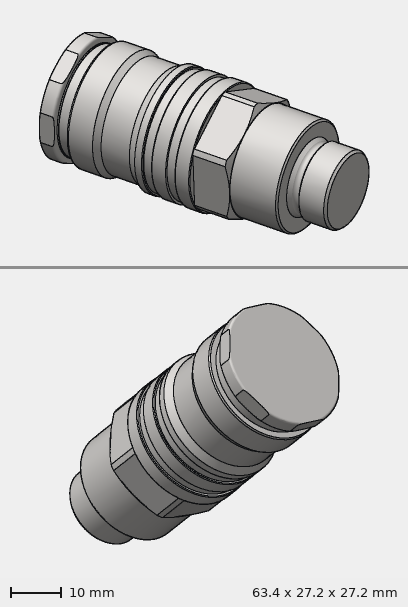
import cadquery as cq
import math

total_length = 63.4

flange_length = 3.5
flange_diameter = 26.95
flange_across_flats = 26.0
flange_front_fillet = 0.45
flange_back_fillet = 0.6

neck_step_end = 3.8
neck_step_diameter = 24.0
neck_diameter = 23.7

collar_start = 6.5
collar_diameter = 26.7
collar_chamfer_length = 0.4
collar_chamfer_depth = 0.2
collar_cone_start = 12.5

waist_start = 13.95
waist_end = 20.5
waist_diameter = 25.0

ring_diameter = 27.0
last_ring_diameter = 27.2
groove_diameter = 25.9
ring_edge_chamfer = 0.2
first_ring_start = 22.3
first_groove_start = 24.1
second_ring_start = 26.1
second_groove_start = 29.5
last_ring_start = 31.6

hexagon_start = 34.9
hexagon_end = 43.35
hexagon_across_corners = 27.0
hexagon_across_flats = 24.0
hexagon_chamfer_angle = 30.0
hexagon_tilt = 3.0

body_end = 54.3
body_diameter = 23.8
body_chamfer = 0.4

plug_diameter = 16.7
root_end = 55.2
root_diameter = 15.5
plug_neck_bottom = 56.05
plug_neck_diameter = 14.7
plug_neck_end = 56.9
plug_neck_end_diameter = 16.0
head_start = 57.1
head_chamfer_length = 0.6
head_chamfer_depth = 0.45


def revolve_profile(points):
    """Revolve (x, radius) points about the X axis, closing the outline along the axis."""
    outline = [(points[0][0], 0), *points, (points[-1][0], 0)]
    return cq.Workplane("XY").polyline(outline).close().revolve(360, (0, 0, 0), (1, 0, 0))


def hexagonal_prism(start, end, across_flats, tilt=0):
    """Hexagon along X with one flat facing -Y, turned by tilt degrees towards -Z."""
    half_side_angle = 30.0
    across_corners = across_flats / math.cos(math.radians(half_side_angle))
    return (
        cq.Workplane("YZ")
        .polygon(6, across_corners)
        .extrude(end - start)
        .rotate((0, 0, 0), (1, 0, 0), half_side_angle + tilt)
        .translate((start, 0, 0))
    )


def make_flange():
    turned = cq.Workplane("YZ").circle(flange_diameter / 2).extrude(flange_length)
    turned = turned.faces("<X").edges().fillet(flange_front_fillet)
    turned = turned.faces(">X").edges().fillet(flange_back_fillet)
    return turned.intersect(hexagonal_prism(0, flange_length, flange_across_flats))


def make_sleeve():
    collar_radius = collar_diameter / 2
    neck_radius = neck_diameter / 2
    waist_radius = waist_diameter / 2
    ring_radius = ring_diameter / 2
    last_ring_radius = last_ring_diameter / 2
    groove_radius = groove_diameter / 2
    return revolve_profile([
        (flange_length, neck_step_diameter / 2),
        (neck_step_end, neck_step_diameter / 2),
        (neck_step_end, neck_radius),
        (collar_start, neck_radius),
        (collar_start, collar_radius - collar_chamfer_depth),
        (collar_start + collar_chamfer_length, collar_radius),
        (collar_cone_start, collar_radius),
        (waist_start, waist_radius),
        (waist_end, waist_radius),
        (first_ring_start, ring_radius),
        (first_groove_start - ring_edge_chamfer, ring_radius),
        (first_groove_start, ring_radius - ring_edge_chamfer),
        (first_groove_start, groove_radius),
        (second_ring_start, groove_radius),
        (second_ring_start, ring_radius - ring_edge_chamfer),
        (second_ring_start + ring_edge_chamfer, ring_radius),
        (second_groove_start, ring_radius),
        (second_groove_start, groove_radius),
        (last_ring_start, groove_radius),
        (last_ring_start, last_ring_radius - ring_edge_chamfer),
        (last_ring_start + ring_edge_chamfer, last_ring_radius),
        (hexagon_start, last_ring_radius),
        (hexagon_start + ring_edge_chamfer, last_ring_radius - ring_edge_chamfer),
    ])


def make_wrench_hexagon():
    corner_radius = hexagon_across_corners / 2
    end_radius = hexagon_across_flats / 2
    chamfer_length = (corner_radius - end_radius) * math.tan(math.radians(hexagon_chamfer_angle))
    turned = revolve_profile([
        (hexagon_start, corner_radius),
        (hexagon_end - chamfer_length, corner_radius),
        (hexagon_end, end_radius),
    ])
    return turned.intersect(
        hexagonal_prism(hexagon_start, hexagon_end, hexagon_across_flats, hexagon_tilt)
    )


def make_rear_body():
    radius = body_diameter / 2
    return revolve_profile([
        (hexagon_end, radius),
        (body_end - body_chamfer, radius),
        (body_end, radius - body_chamfer),
    ])


def make_plug_end():
    radius = plug_diameter / 2
    return (
        cq.Workplane("XY")
        .moveTo(body_end, 0)
        .lineTo(body_end, radius)
        .lineTo(root_end, root_diameter / 2)
        .threePointArc(
            (plug_neck_bottom, plug_neck_diameter / 2),
            (plug_neck_end, plug_neck_end_diameter / 2),
        )
        .lineTo(head_start, radius)
        .lineTo(total_length - head_chamfer_length, radius)
        .lineTo(total_length, radius - head_chamfer_depth)
        .lineTo(total_length, 0)
        .close()
        .revolve(360, (0, 0, 0), (1, 0, 0))
    )


result = (
    make_flange()
    .union(make_sleeve())
    .union(make_wrench_hexagon())
    .union(make_rear_body())
    .union(make_plug_end())
)